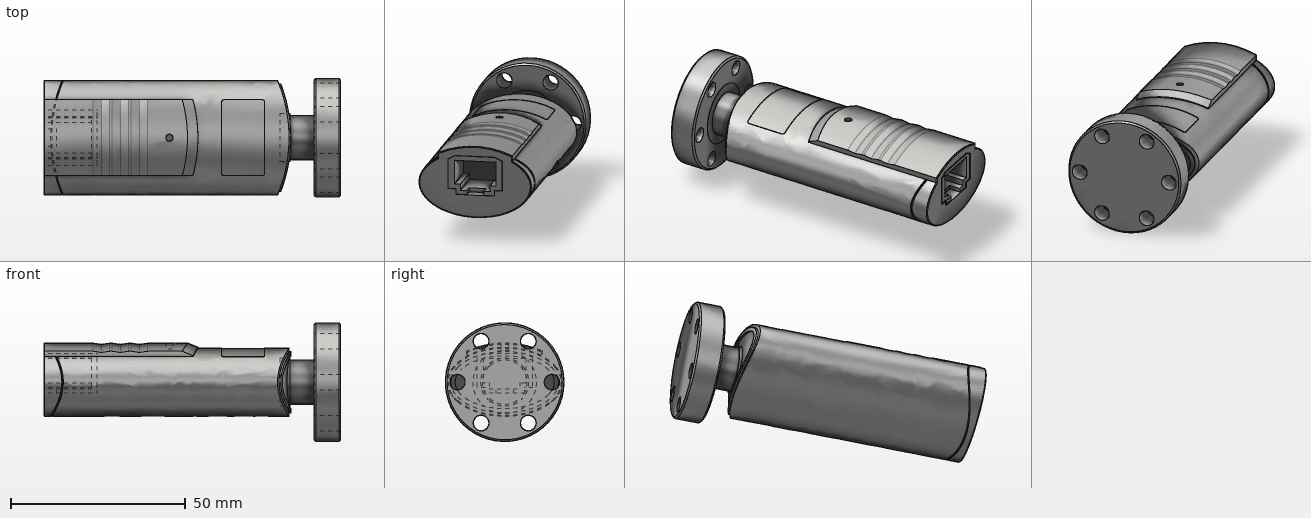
import cadquery as cq
import math

TOTAL_LENGTH = 84.9

HALF_WIDTH = 16.4
HALF_HEIGHT = 9.8
HOUSING_END = 70.1
PLAN_RADIUS = 42.45
FRONT_CHAMFER = 0.25

PAD_HALF_WIDTH = 10.9
PAD_TOP = 11.2
PAD_RADIUS = 26.3
PAD_END = 44.1
PAD_BEVEL_LENGTH = 3.0
PAD_BEVEL_DROP = 1.2

GRIP_COUNT = 3
GRIP_START = 14.1
GRIP_PITCH = 5.4
GRIP_WIDTH = 4.75
GRIP_DEPTH = 0.3

INDICATOR_X = 35.9
INDICATOR_DIAMETER = 2.0
INDICATOR_DEPTH = 1.7
LABEL_START = 50.85
LABEL_LENGTH = 12.3
LABEL_CORNER = 0.7
LABEL_DEPTH = 0.1

PARTING_CREST = 1.95
PARTING_WIDTH = 0.3
PARTING_DEPTH = 0.25

RIM_OUTER_INSET = 1.0
RIM_WALL = 1.2
RIM_HEIGHT = 0.5

JACK_LENGTH = 15.3
JACK_RECESS = 0.25
JACK_HALF_WIDTH = 7.9
JACK_TOP = 8.2
JACK_SHOULDER = -1.5
JACK_TAB_HALF_WIDTH = 5.6
JACK_BOTTOM = -3.1
JACK_CORNER_WIDTH = 2.0
JACK_CORNER_HEIGHT = 1.1
PORT_HALF_WIDTH = 6.0
PORT_TOP = 6.8
PORT_SHOULDER = -0.2
PORT_TAB_HALF_WIDTH = 4.3
PORT_BOTTOM = -1.95
PORT_DEPTH = 13.6
LATCH_WIDTH = 4.9
LATCH_LENGTH = 3.65

FLANGE_DIAMETER = 34.0
FLANGE_THICKNESS = 7.6
FLANGE_CHAMFER = 0.5
FLANGE_RECESS_DIAMETER = 18.2
FLANGE_RECESS_DEPTH = 0.1
BOLT_COUNT = 6
BOLT_CIRCLE_DIAMETER = 27.0
BOLT_HOLE_DIAMETER = 4.4
TUBE_DIAMETER = 12.7
TUBE_SOCKET_DEPTH = 2.55
COLLAR_DIAMETER = 13.75
COLLAR_HEIGHT = 0.3

flange_face = TOTAL_LENGTH - FLANGE_THICKNESS
tube_start = HOUSING_END - TUBE_SOCKET_DEPTH


def section_plane(x):
    """Workplane across the part at x: local x is Y and local y is Z."""
    return cq.Workplane("YZ", origin=(x, 0, 0))


def oval_bar(length, inset=0.0):
    """Bar along X from x = 0 with the housing section, both half axes reduced by the inset."""
    return section_plane(0).ellipse(HALF_WIDTH - inset, HALF_HEIGHT - inset).extrude(length)


def plan_cylinder(crest, facing):
    """Upright cylinder whose surface crosses y = 0 at x = crest; facing is +1 for +X, -1 for -X."""
    return (
        cq.Workplane("XY", origin=(crest - facing * PLAN_RADIUS, 0, -FLANGE_DIAMETER / 2))
        .circle(PLAN_RADIUS)
        .extrude(FLANGE_DIAMETER)
    )


def make_pad():
    """Raised pad with a crowned top, an arched rear end and a bevel along that end."""
    edge_z = PAD_TOP - PAD_RADIUS + math.sqrt(PAD_RADIUS**2 - PAD_HALF_WIDTH**2)
    pad = (
        section_plane(0)
        .moveTo(-PAD_HALF_WIDTH, 0)
        .lineTo(-PAD_HALF_WIDTH, edge_z)
        .threePointArc((0, PAD_TOP), (PAD_HALF_WIDTH, edge_z))
        .lineTo(PAD_HALF_WIDTH, 0)
        .close()
        .extrude(PAD_END)
        .intersect(plan_cylinder(PAD_END, 1))
    )
    rear_crest_edge = pad.faces(">X").edges(">Z")
    return rear_crest_edge.chamfer(PAD_BEVEL_LENGTH, PAD_BEVEL_DROP)


def cut_grips(body):
    """V grooves of constant depth that follow the crowned pad top."""
    axis_z = PAD_TOP - PAD_RADIUS
    for index in range(GRIP_COUNT):
        start = GRIP_START + index * GRIP_PITCH
        groove = (
            cq.Workplane("XZ")
            .moveTo(start, PAD_TOP)
            .lineTo(start + GRIP_WIDTH / 2, PAD_TOP - GRIP_DEPTH)
            .lineTo(start + GRIP_WIDTH, PAD_TOP)
            .lineTo(start + GRIP_WIDTH, PAD_TOP + GRIP_DEPTH)
            .lineTo(start, PAD_TOP + GRIP_DEPTH)
            .close()
            .revolve(360, (0, axis_z, 0), (1, axis_z, 0))
        )
        body = body.cut(groove)
    return body


def make_label_recess():
    """Thin skin removed from the top of the housing inside a rounded rectangle."""
    window = (
        cq.Workplane("XY")
        .center(LABEL_START + LABEL_LENGTH / 2, 0)
        .rect(LABEL_LENGTH, 2 * PAD_HALF_WIDTH)
        .extrude(PAD_TOP)
        .edges("|Z")
        .fillet(LABEL_CORNER)
    )
    return window.cut(oval_bar(TOTAL_LENGTH, LABEL_DEPTH))


def make_parting_groove():
    """Shallow groove around the housing, bowed toward the front in plan."""
    skin = oval_bar(HOUSING_END).cut(oval_bar(HOUSING_END, PARTING_DEPTH))
    return (
        skin.intersect(plan_cylinder(PARTING_CREST, -1))
        .cut(plan_cylinder(PARTING_CREST + PARTING_WIDTH, -1))
    )


def make_rim():
    """Raised oval rim that follows the curved rear end."""
    length = HOUSING_END + RIM_HEIGHT
    ring = oval_bar(length, RIM_OUTER_INSET).cut(oval_bar(length, RIM_OUTER_INSET + RIM_WALL))
    return (
        ring.intersect(plan_cylinder(HOUSING_END + RIM_HEIGHT, 1))
        .cut(plan_cylinder(HOUSING_END, 1))
    )


def tabbed_outline(x, half_width, top, shoulder, tab_half_width, bottom):
    """Jack outline: a rectangle with a narrower tab below it."""
    return (
        section_plane(x)
        .moveTo(-half_width, top)
        .lineTo(half_width, top)
        .lineTo(half_width, shoulder)
        .lineTo(tab_half_width, shoulder)
        .lineTo(tab_half_width, bottom)
        .lineTo(-tab_half_width, bottom)
        .lineTo(-tab_half_width, shoulder)
        .lineTo(-half_width, shoulder)
        .close()
    )


def jack_envelope(start):
    """Outer shape of the jack from x = start to its back end, with sloped top corners."""
    block = tabbed_outline(
        start, JACK_HALF_WIDTH, JACK_TOP, JACK_SHOULDER, JACK_TAB_HALF_WIDTH, JACK_BOTTOM
    ).extrude(JACK_LENGTH - start)
    return block.edges("|X and >Z").chamfer(JACK_CORNER_WIDTH, JACK_CORNER_HEIGHT)


def make_jack():
    """Modular jack with its port and the latch slot through the floor of the port."""
    port = tabbed_outline(
        0, PORT_HALF_WIDTH, PORT_TOP, PORT_SHOULDER, PORT_TAB_HALF_WIDTH, PORT_BOTTOM
    ).extrude(PORT_DEPTH)
    latch_slot = (
        cq.Workplane("XY", origin=(0, 0, JACK_BOTTOM))
        .box(LATCH_LENGTH, LATCH_WIDTH, -JACK_BOTTOM, centered=(False, True, False))
    )
    return jack_envelope(JACK_RECESS).cut(port).cut(latch_slot)


def make_tube():
    """Tube from its socket in the housing to the flange recess, with a low collar on the housing face."""
    tube_end = flange_face + FLANGE_RECESS_DEPTH
    tube = section_plane(tube_start).circle(TUBE_DIAMETER / 2).extrude(tube_end - tube_start)
    collar = (
        section_plane(tube_start)
        .circle(COLLAR_DIAMETER / 2)
        .extrude(HOUSING_END + COLLAR_HEIGHT - tube_start)
    )
    return tube.union(collar)


def make_housing():
    """Housing with its pad, pockets for the jack and the tube, and surface details."""
    shell = oval_bar(HOUSING_END).intersect(plan_cylinder(HOUSING_END, 1))
    body = shell.cut(make_parting_groove()).union(make_pad())
    body = body.faces("<X").edges().chamfer(FRONT_CHAMFER)
    body = cut_grips(body).cut(make_label_recess()).union(make_rim())
    indicator = (
        cq.Workplane("XY", origin=(INDICATOR_X, 0, PAD_TOP))
        .circle(INDICATOR_DIAMETER / 2)
        .extrude(-INDICATOR_DEPTH)
    )
    return body.cut(indicator).cut(jack_envelope(0)).cut(make_tube())


def make_flange():
    """Round bolted flange joined to its tube."""
    disk = (
        section_plane(flange_face)
        .circle(FLANGE_DIAMETER / 2)
        .extrude(FLANGE_THICKNESS)
        .edges()
        .chamfer(FLANGE_CHAMFER)
    )
    recess = section_plane(flange_face).circle(FLANGE_RECESS_DIAMETER / 2).extrude(FLANGE_RECESS_DEPTH)
    bolt_holes = (
        section_plane(flange_face)
        .polarArray(BOLT_CIRCLE_DIAMETER / 2, 0, 360, BOLT_COUNT)
        .circle(BOLT_HOLE_DIAMETER / 2)
        .extrude(FLANGE_THICKNESS)
    )
    return disk.cut(recess).cut(bolt_holes).union(make_tube())


housing = make_housing()
jack = make_jack()
flange = make_flange()

result = cq.Compound.makeCompound([body.solids().val() for body in (housing, jack, flange)])